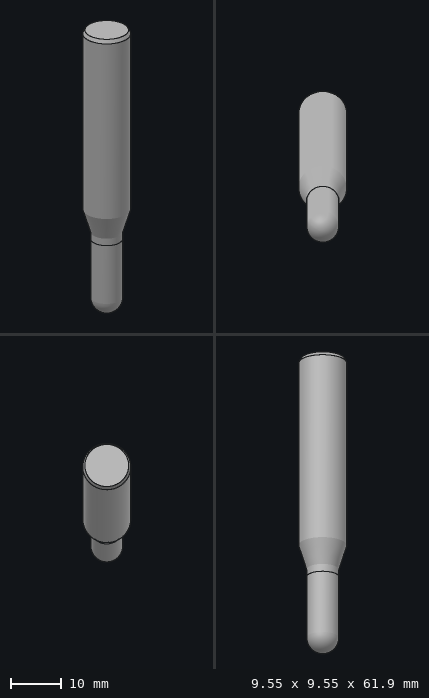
import cadquery as cq

total_length = 61.9
shank_diameter = 9.55
cutter_diameter = 6.4
cutter_length = 16.05
neck_length = 1.5
taper_length = 5.1
chamfer_height = 0.8
chamfer_width = 0.45

shank_radius = shank_diameter / 2
cutter_radius = cutter_diameter / 2
taper_bottom = cutter_length + neck_length
taper_top = taper_bottom + taper_length


def make_cutter():
    """Straight cylindrical cutting end with a hemispherical tip."""
    ball_mid = cutter_radius * 0.5 ** 0.5
    profile = (
        cq.Workplane("XZ")
        .moveTo(0, 0)
        .threePointArc(
            (ball_mid, cutter_radius - ball_mid),
            (cutter_radius, cutter_radius),
        )
        .lineTo(cutter_radius, cutter_length)
        .lineTo(0, cutter_length)
        .close()
    )
    return profile.revolve(360, (0, 0, 0), (0, 1, 0))


def make_shank():
    """Chamfered round shank that tapers down to a neck as wide as the cutter."""
    profile = (
        cq.Workplane("XZ")
        .moveTo(0, cutter_length)
        .lineTo(cutter_radius, cutter_length)
        .lineTo(cutter_radius, taper_bottom)
        .lineTo(shank_radius, taper_top)
        .lineTo(shank_radius, total_length - chamfer_height)
        .lineTo(shank_radius - chamfer_width, total_length)
        .lineTo(0, total_length)
        .close()
    )
    return profile.revolve(360, (0, 0, 0), (0, 1, 0))


cutter = make_cutter()
shank = make_shank()

result = cq.Compound.makeCompound([cutter.val(), shank.val()])